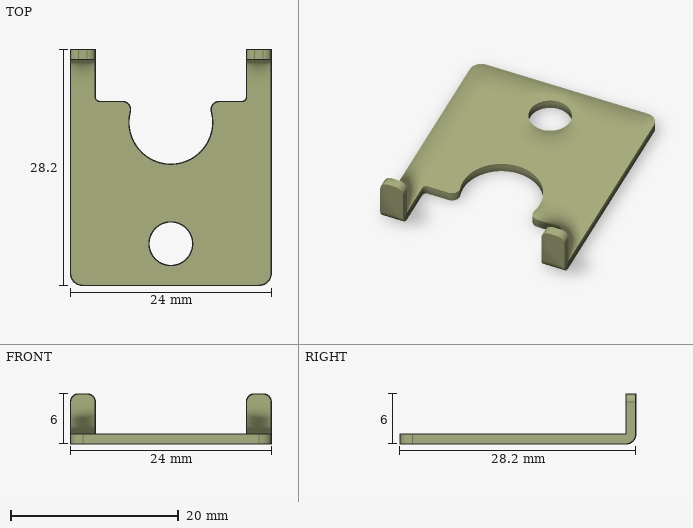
import cadquery as cq

width = 24.0
length = 28.2
height = 6.0
thickness = 1.2

arm_width = 3.0
ledge_y = 22.0
tab_tip_radius = 1.0
bend_outer_radius = thickness

front_corner_radius = 1.5
arm_root_radius = 0.5
recess_radius = 5.0
recess_y = 19.5
recess_lip_radius = 1.0
hole_diameter = 5.2
hole_y = 5.0

half_width = width / 2
arm_inner_x = half_width - arm_width


def make_plate():
    """Flat U-shaped plate with its front edge on y = 0."""
    plate = cq.Workplane("XY").box(width, length, thickness, centered=(True, False, False))
    plate = plate.edges("|Z and <Y").fillet(front_corner_radius)
    arm_gap = cq.Workplane("XY").box(
        2 * arm_inner_x, length - ledge_y, thickness, centered=(True, False, False)
    )
    plate = plate.cut(arm_gap.translate((0, ledge_y, 0)))
    recess = cq.Workplane("XY").center(0, recess_y).circle(recess_radius).extrude(thickness)
    return plate.cut(recess)


def round_ledge(plate):
    """Round the arm roots and the lips where the recess meets the ledge."""
    lip_x = (recess_radius**2 - (ledge_y - recess_y) ** 2) ** 0.5
    for x, radius in ((arm_inner_x, arm_root_radius), (lip_x, recess_lip_radius)):
        for side in (-1, 1):
            corner = cq.selectors.NearestToPointSelector((side * x, ledge_y, thickness / 2))
            plate = plate.edges(corner).fillet(radius)
    return plate


def make_tab(side):
    """Upturned tab at the end of one arm, with a rounded tip."""
    tab = cq.Workplane("XY").box(arm_width, thickness, height, centered=(True, False, False))
    tab = tab.edges("|Y and >Z").fillet(tab_tip_radius)
    return tab.translate((side * (half_width - arm_width / 2), length - thickness, 0))


body = round_ledge(make_plate())
for side in (-1, 1):
    body = body.union(make_tab(side))

body = body.edges("|X and >Y and <Z").fillet(bend_outer_radius)

hole = cq.Workplane("XY").center(0, hole_y).circle(hole_diameter / 2).extrude(thickness)
result = body.cut(hole)